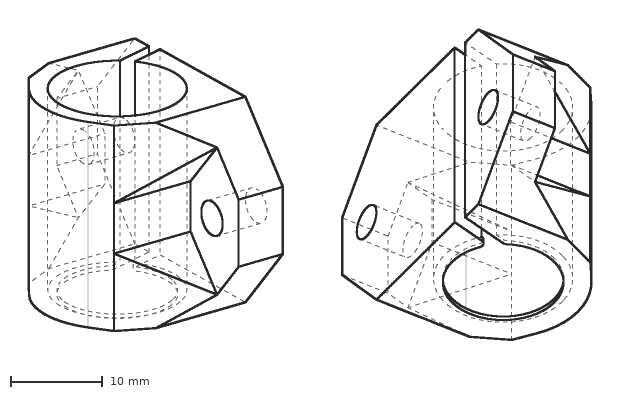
import cadquery as cq
import math

height = 24.5
half_height = height / 2
half_width = 17.0
back_y = 10.05
clamp_back_y = 9.55
end_half_width = 10.0
side_half_height = 4.0

shell_radius = 9.65
shell_half_angle = 35.0
shoulder_half_width = 8.0

flange_front_y = 4.1
gusset_half_width = 12.95
screw_offset = 12.0
screw_diameter = 4.0
recess_half_height = 3.0

bore_radius = 7.6
lip_radius = 6.6
lip_thickness = 0.5

slot_width = 1.42
slot_tilt = 15.0
slot_center_x = -6.7
lip_end_radius = 0.7


def end_profile():
    """Outline in the XY plane: flanged back, sloping sides and a round front."""
    angle = math.radians(shell_half_angle)
    tangent_x = shell_radius * math.sin(angle)
    tangent_y = -shell_radius * math.cos(angle)
    shoulder_y = tangent_y + (shoulder_half_width - tangent_x) * math.tan(angle)
    return (
        cq.Workplane("XY", origin=(0, 0, -half_height))
        .moveTo(-half_width, back_y)
        .lineTo(-half_width, flange_front_y)
        .lineTo(-gusset_half_width, flange_front_y)
        .lineTo(-shoulder_half_width, shoulder_y)
        .lineTo(-tangent_x, tangent_y)
        .threePointArc((0, -shell_radius), (tangent_x, tangent_y))
        .lineTo(shoulder_half_width, shoulder_y)
        .lineTo(gusset_half_width, flange_front_y)
        .lineTo(half_width, flange_front_y)
        .lineTo(half_width, back_y)
        .close()
    )


def front_prism(points, y_start, y_end):
    """Prism along Y whose outline is given as (x, z) points."""
    return (
        cq.Workplane("XZ", origin=(0, y_end, 0))
        .polyline(points)
        .close()
        .extrude(y_end - y_start)
    )


def octagon():
    """Eight-sided front outline that trims the four corners of the block."""
    points = [
        (end_half_width, half_height),
        (half_width, side_half_height),
        (half_width, -side_half_height),
        (end_half_width, -half_height),
        (-end_half_width, -half_height),
        (-half_width, -side_half_height),
        (-half_width, side_half_height),
        (-end_half_width, half_height),
    ]
    return front_prism(points, -shell_radius, back_y)


def screw_recess(side):
    """Flared recess in front of one flange, giving the screw head access."""
    corner_slope = (half_height - side_half_height) / (half_width - end_half_width)
    mouth_half_height = side_half_height + (half_width - gusset_half_width) * corner_slope
    points = [
        (side * shoulder_half_width, recess_half_height),
        (side * gusset_half_width, mouth_half_height),
        (side * half_width, mouth_half_height),
        (side * half_width, -mouth_half_height),
        (side * gusset_half_width, -mouth_half_height),
        (side * shoulder_half_width, -recess_half_height),
    ]
    return front_prism(points, -shell_radius, flange_front_y)


def screw_hole(side):
    return (
        cq.Workplane("XZ", origin=(side * screw_offset, back_y, 0))
        .circle(screw_diameter / 2)
        .extrude(back_y - flange_front_y)
    )


def slot_outline(workplane):
    """Tilted slot strip running from behind the back face to inside the bore."""
    tilt_tangent = math.tan(math.radians(slot_tilt))
    half_span_x = slot_width / 2 / math.cos(math.radians(slot_tilt))
    overrun = 1.0
    outer_y = back_y + overrun
    inner_y = lip_radius / 2
    outer_x = slot_center_x - overrun * tilt_tangent
    inner_x = slot_center_x + (back_y - inner_y) * tilt_tangent
    return (
        workplane
        .moveTo(outer_x - half_span_x, outer_y)
        .lineTo(outer_x + half_span_x, outer_y)
        .lineTo(inner_x + half_span_x, inner_y)
        .lineTo(inner_x - half_span_x, inner_y)
        .close()
    )


def lip():
    """Ring at the bottom of the bore, split by the slot, with rounded inner ends."""
    base = cq.Workplane("XY", origin=(0, 0, -half_height))
    ring = base.circle(bore_radius).circle(lip_radius).extrude(lip_thickness)
    split_ring = ring.cut(slot_outline(base).extrude(lip_thickness))
    slot_side = cq.selectors.BoxSelector(
        (-bore_radius, 0, -half_height),
        (0, bore_radius, half_height),
    )
    mid_radius = (bore_radius + lip_radius) / 2
    end_edges = split_ring.edges("|Z").edges(slot_side).filter(
        lambda edge: math.hypot(edge.Center().x, edge.Center().y) < mid_radius
    )
    return end_edges.fillet(lip_end_radius)


def clamp_setback():
    """Thin slab removed from the back of the clamping side, up to the slot."""
    return cq.Workplane("XY").box(
        half_width + slot_center_x,
        back_y - clamp_back_y,
        height,
        centered=(False, False, True),
    ).translate((-half_width, clamp_back_y, 0))


body = end_profile().extrude(height).intersect(octagon())
for side in (-1, 1):
    body = body.cut(screw_recess(side)).cut(screw_hole(side))

bottom = cq.Workplane("XY", origin=(0, 0, -half_height))
body = body.cut(bottom.circle(bore_radius).extrude(height))
body = body.cut(slot_outline(bottom).extrude(height))
body = body.cut(clamp_setback())

result = body.union(lip())